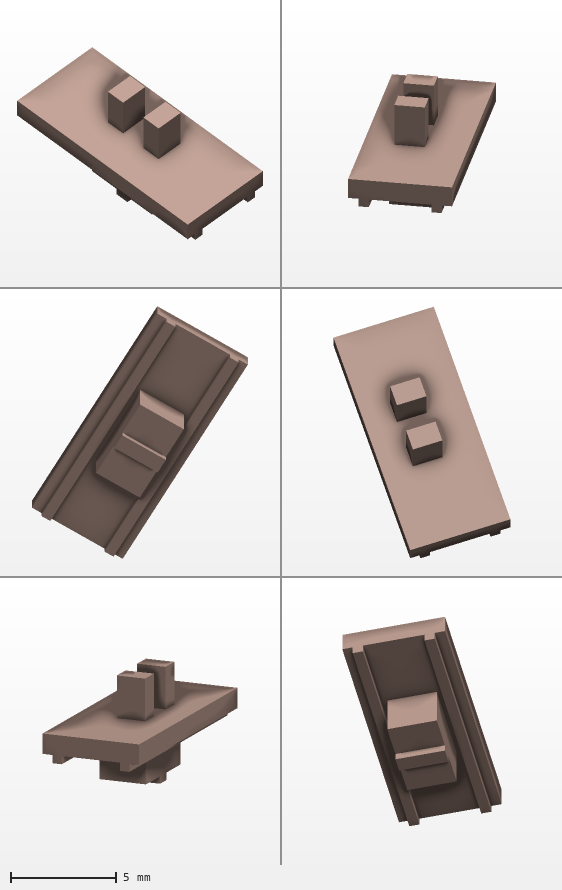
import cadquery as cq

plate_length = 11.52
plate_width = 5.02
plate_thickness = 1.0

rail_width = 0.5
rail_height = 0.4
rail_edge_inset = 0.51

post_length = 1.03
post_width = 1.47
post_height = 2.1
post_spacing = 2.4
post_offset_y = 0.29

block_length = 4.05
block_width = 2.42
block_height = 2.0
tab_length = 0.75
tab_height = 0.37


def box_above(length, width, height, x, y, bottom):
    """Box centred on (x, y) that rises from the level `bottom`."""
    return cq.Workplane("XY").box(length, width, height, centered=(True, True, False)).translate((x, y, bottom))


result = box_above(plate_length, plate_width, plate_thickness, 0, 0, 0)

rail_y = plate_width / 2 - rail_edge_inset - rail_width / 2
for side in (-1, 1):
    rail = box_above(plate_length, rail_width, rail_height, 0, side * rail_y, -rail_height)
    post_x = side * post_spacing / 2
    post = box_above(post_length, post_width, post_height, post_x, post_offset_y, plate_thickness)
    result = result.union(rail).union(post)

block = box_above(block_length, block_width, block_height, 0, 0, -block_height)
tab = box_above(tab_length, block_width, tab_height, 0, 0, -block_height - tab_height)
result = result.union(block).union(tab)